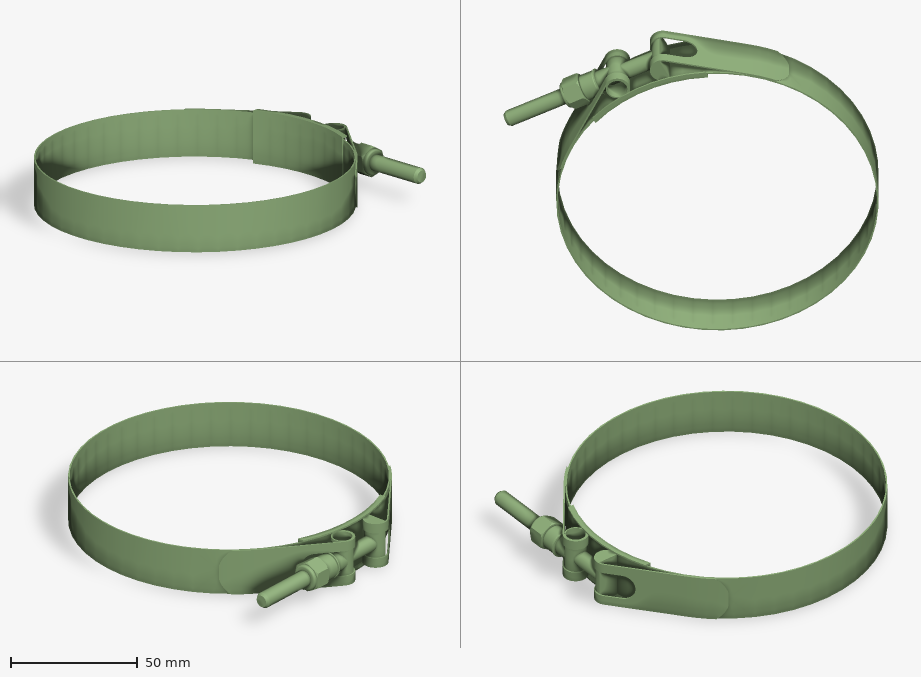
import cadquery as cq
import math


band_diameter = 127.2
band_outer = band_diameter / 2
band_thickness = 0.61
band_inner = band_outer - band_thickness
band_height = 19.4
tail_tip_y = 38.2
tail_corner_y = 42.3
slot_width = 11.0
head_slot_length = 12.8
nut_slot_length = 17.8
loop_slot_floor_y = 63.5

axis_y = 67.3
trunnion_radius = 4.5
loop_outer = trunnion_radius + band_thickness
trunnion_distance = band_outer + trunnion_radius
trunnion_x = math.sqrt(trunnion_distance**2 - axis_y**2)

bolt_radius = 3.3
bolt_end_x = 59.1
bolt_chamfer_length = 1.2
bolt_chamfer_depth = 0.8
head_flat_offset = 0.8

tube_wall = 0.5
barrel_radius = 4.2
sleeve_end_x = 18.5
sleeve_flange_thickness = 0.5
sleeve_flange_radius = 5.5

nut_start_x = 24.7
hex_length = 7.1
nut_end_x = 33.2
nut_across_flats = 11.3
nut_chamfer = 0.7
insert_radius = 5.3
insert_fillet = 0.8
collar_radius = 5.2
collar_fillet = 0.5

bridge_half_length = 24.9
bridge_height = 22.0
bridge_web_thickness = 0.7
bridge_flange_thickness = 0.7
bridge_outer = 64.7

trunnion_angle = 90 + math.degrees(math.asin(trunnion_x / trunnion_distance))
tangent_angle = trunnion_angle + math.degrees(math.acos((band_outer - trunnion_radius) / trunnion_distance))
tail_tip_angle = 180 - math.degrees(math.asin(tail_tip_y / band_outer))

origin = (0.0, 0.0)
left_trunnion = (-trunnion_x, axis_y)


def polar(center, radius, angle):
    """Point at a radius and an angle in degrees from a center."""
    turn = math.radians(angle)
    return (center[0] + radius * math.cos(turn), center[1] + radius * math.sin(turn))


def extrude_mid_plane(outline, height):
    """Extrude a closed XY outline equally above and below Z = 0."""
    return outline.extrude(height / 2, both=True)


def curved_strip(center, inner_radius, start_angle, end_angle):
    """Length of band strip bent round a center."""
    outer_radius = inner_radius + band_thickness
    middle_angle = (start_angle + end_angle) / 2
    outline = (
        cq.Workplane("XY")
        .moveTo(*polar(center, inner_radius, start_angle))
        .threePointArc(polar(center, inner_radius, middle_angle), polar(center, inner_radius, end_angle))
        .lineTo(*polar(center, outer_radius, end_angle))
        .threePointArc(polar(center, outer_radius, middle_angle), polar(center, outer_radius, start_angle))
        .close()
    )
    return extrude_mid_plane(outline, band_height)


def straight_strip():
    """Flat run of strip, tangent to the left trunnion and to the outside of the band."""
    outline = cq.Workplane("XY").polyline([
        polar(left_trunnion, trunnion_radius, tangent_angle),
        polar(left_trunnion, loop_outer, tangent_angle),
        polar(origin, band_outer + band_thickness, tangent_angle),
        polar(origin, band_outer, tangent_angle),
    ]).close()
    return extrude_mid_plane(outline, band_height)


def rounded_tail():
    """Welded tail lying on the band, with a rounded tip."""
    strip = curved_strip(origin, band_outer, tangent_angle, tail_tip_angle)
    half_height = band_height / 2
    keep = (
        cq.Workplane("YZ")
        .moveTo(band_outer, -half_height)
        .lineTo(tail_corner_y, -half_height)
        .threePointArc((tail_tip_y, 0), (tail_corner_y, half_height))
        .lineTo(band_outer, half_height)
        .close()
        .extrude(-band_diameter)
    )
    return strip.intersect(keep)


def loop_slot(length):
    """Slot through the left loop: round-ended along the flat run, open over the trunnion."""
    slot_radius = slot_width / 2
    start = polar(left_trunnion, loop_outer, tangent_angle)
    normal = polar(origin, 1, tangent_angle)
    along = polar(origin, 1, tangent_angle + 90)
    strip_plane = cq.Plane(origin=(*start, 0), xDir=(*along, 0), normal=(*normal, 0))
    straight_length = length - slot_radius
    flat_slot = (
        cq.Workplane(strip_plane)
        .moveTo(0, -slot_radius)
        .lineTo(straight_length, -slot_radius)
        .threePointArc((length, 0), (straight_length, slot_radius))
        .lineTo(0, slot_radius)
        .close()
        .extrude(2 * band_thickness, both=True)
    )
    over_trunnion = cq.Workplane("XY").box(
        2 * loop_outer, 2 * loop_outer, slot_width, centered=(True, False, True)
    ).translate((-trunnion_x, loop_slot_floor_y, 0))
    return flat_slot.union(over_trunnion)


def band_loop(slot_length):
    """Left band end: round the trunnion, back along the flat run and down to the tail."""
    loop = curved_strip(left_trunnion, trunnion_radius, trunnion_angle - 180, tangent_angle)
    loop = loop.union(straight_strip(), clean=False)
    return loop.cut(loop_slot(slot_length)).union(rounded_tail(), clean=False)


def make_band():
    """Band circle, open at the bridge, with a loop at each end."""
    circle = curved_strip(origin, band_inner, trunnion_angle, 540 - trunnion_angle)
    head_loop = band_loop(head_slot_length)
    nut_loop = band_loop(nut_slot_length).mirror("YZ")
    return circle.union(head_loop, clean=False).union(nut_loop, clean=False)


def x_cylinder(radius, start_x, end_x):
    """Cylinder on the bolt axis between two X positions."""
    return cq.Workplane("YZ", origin=(start_x, axis_y, 0)).circle(radius).extrude(end_x - start_x)


def z_cylinder(radius, center_x):
    """Trunnion cylinder across the full band height."""
    return extrude_mid_plane(cq.Workplane("XY").center(center_x, axis_y).circle(radius), band_height)


def make_t_bolt():
    """Bolt with a flat-backed trunnion for a head."""
    shank_profile = (
        cq.Workplane("XY", origin=(0, axis_y, 0))
        .moveTo(-trunnion_x, 0)
        .lineTo(-trunnion_x, bolt_radius)
        .lineTo(bolt_end_x - bolt_chamfer_length, bolt_radius)
        .lineTo(bolt_end_x, bolt_radius - bolt_chamfer_depth)
        .lineTo(bolt_end_x, 0)
        .close()
    )
    shank = shank_profile.revolve(360, (0, 0, 0), (1, 0, 0))
    flat_x = -trunnion_x - head_flat_offset
    behind_flat = cq.Workplane("XY").box(
        2 * trunnion_radius, 2 * trunnion_radius, band_height, centered=(False, True, True)
    ).translate((flat_x - 2 * trunnion_radius, axis_y, 0))
    head = z_cylinder(trunnion_radius, -trunnion_x).cut(behind_flat)
    return head.union(shank)


def make_sleeve():
    """Hollow trunnion with a barrel that takes the push of the nut."""
    barrel = x_cylinder(barrel_radius, trunnion_x, sleeve_end_x)
    flange = x_cylinder(sleeve_flange_radius, sleeve_end_x - sleeve_flange_thickness, sleeve_end_x)
    tube = z_cylinder(trunnion_radius, trunnion_x)
    inside = z_cylinder(trunnion_radius - tube_wall, trunnion_x)
    bore = x_cylinder(bolt_radius, 0, sleeve_end_x)
    return tube.union(barrel).union(flange).cut(inside).cut(bore)


def make_collar():
    """Plain ring with rounded rims between the sleeve flange and the nut."""
    ring = x_cylinder(collar_radius, sleeve_end_x, nut_start_x).edges("%CIRCLE").fillet(collar_fillet)
    return ring.cut(x_cylinder(bolt_radius, sleeve_end_x, nut_start_x))


def make_nut():
    """Lock nut: hexagon with two flats facing +Y and -Y, and a rounded insert rim."""
    across_corners = nut_across_flats / math.cos(math.radians(30))
    hex_end_x = nut_start_x + hex_length
    hexagon = (
        cq.Workplane("YZ", origin=(nut_start_x, axis_y, 0))
        .transformed(rotate=(0, 0, 90))
        .polygon(6, across_corners)
        .extrude(hex_length)
    )
    corner_trim = x_cylinder(across_corners / 2, nut_start_x, hex_end_x).faces("<X or >X").chamfer(nut_chamfer)
    rim = x_cylinder(insert_radius, hex_end_x, nut_end_x).faces(">X").edges().fillet(insert_fillet)
    bore = x_cylinder(bolt_radius, nut_start_x, nut_end_x)
    return hexagon.intersect(corner_trim).union(rim).cut(bore)


def make_bridge():
    """Curved channel: web inside the band, flanges standing outward above and below it."""
    web_outer = band_inner
    web_inner = web_outer - bridge_web_thickness
    channel = extrude_mid_plane(cq.Workplane("XY").circle(bridge_outer).circle(web_inner), bridge_height)
    groove_height = bridge_height - 2 * bridge_flange_thickness
    groove = extrude_mid_plane(cq.Workplane("XY").circle(bridge_outer).circle(web_outer), groove_height)
    sector = cq.Workplane("XY").box(
        2 * bridge_half_length, bridge_outer, bridge_height, centered=(True, False, True)
    )
    return channel.cut(groove).intersect(sector)


band = make_band()
bridge = make_bridge()
t_bolt = make_t_bolt()
sleeve = make_sleeve()
collar = make_collar()
nut = make_nut()

result = cq.Compound.makeCompound([
    band.solids().val(),
    bridge.solids().val(),
    t_bolt.solids().val(),
    sleeve.solids().val(),
    collar.solids().val(),
    nut.solids().val(),
])